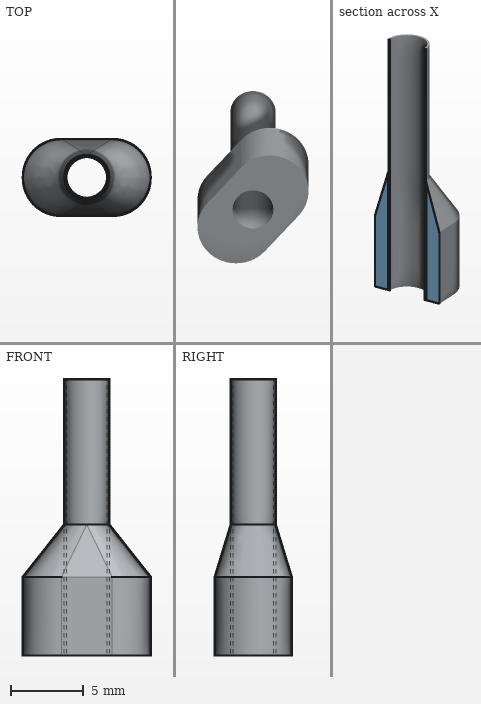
import cadquery as cq

TUBE_OUTER_RADIUS = 1.55
TUBE_WALL = 0.15
TOTAL_HEIGHT = 19.0
TUBE_EXPOSED_LENGTH = 10.0

COLLAR_LENGTH = 8.8
COLLAR_WIDTH = 5.3
TAPER_HEIGHT = 3.6
COLLAR_HEIGHT = TOTAL_HEIGHT - TUBE_EXPOSED_LENGTH
BASE_HEIGHT = COLLAR_HEIGHT - TAPER_HEIGHT
END_RADIUS = COLLAR_WIDTH / 2
END_OFFSET = COLLAR_LENGTH / 2 - END_RADIUS


def half_disc_loft(side):
    """Oblique half cone from one rounded end of the base to half of the tube's circle.

    side is +1 for the +X end and -1 for the -X end.
    """

    def half_disc(workplane, center_x, radius):
        return (
            workplane.moveTo(center_x, -radius)
            .threePointArc((center_x + side * radius, 0), (center_x, radius))
            .close()
        )

    lower = half_disc(cq.Workplane("XY", origin=(0, 0, BASE_HEIGHT)), side * END_OFFSET, END_RADIUS)
    return half_disc(lower.workplane(offset=TAPER_HEIGHT), 0, TUBE_OUTER_RADIUS).loft(ruled=True)


def taper_wedge():
    """Flat-sided wedge between the half cones, ending in an edge across the tube's circle."""
    triangle = (
        cq.Workplane("XZ")
        .polyline([(-END_OFFSET, BASE_HEIGHT), (END_OFFSET, BASE_HEIGHT), (0, COLLAR_HEIGHT)])
        .close()
        .extrude(END_RADIUS, both=True)
    )
    trapezoid = (
        cq.Workplane("YZ")
        .polyline(
            [
                (-END_RADIUS, BASE_HEIGHT),
                (END_RADIUS, BASE_HEIGHT),
                (TUBE_OUTER_RADIUS, COLLAR_HEIGHT),
                (-TUBE_OUTER_RADIUS, COLLAR_HEIGHT),
            ]
        )
        .close()
        .extrude(END_OFFSET, both=True)
    )
    return triangle.intersect(trapezoid)


def make_collar():
    """Slot-shaped base and taper, with a through hole that fits the tube."""
    collar = cq.Workplane("XY").slot2D(COLLAR_LENGTH, COLLAR_WIDTH).extrude(BASE_HEIGHT)
    collar = collar.union(taper_wedge())
    for side in (-1, 1):
        collar = collar.union(half_disc_loft(side))
    tube_hole = cq.Workplane("XY").circle(TUBE_OUTER_RADIUS).extrude(COLLAR_HEIGHT)
    return collar.cut(tube_hole).solids()


def make_tube():
    """Thin-walled tube running from the collar's bottom face to the open top."""
    return (
        cq.Workplane("XY")
        .circle(TUBE_OUTER_RADIUS)
        .circle(TUBE_OUTER_RADIUS - TUBE_WALL)
        .extrude(TOTAL_HEIGHT)
    )


collar = make_collar()
tube = make_tube()

result = cq.Compound.makeCompound([collar.val(), tube.val()])